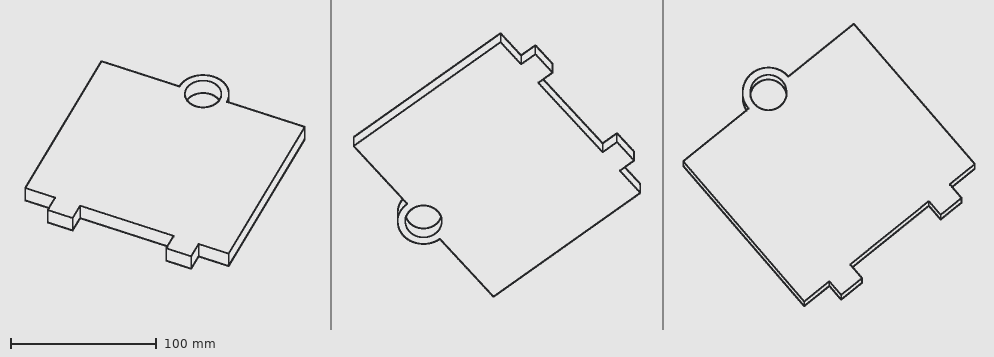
import cadquery as cq

width = 152.3
length = 160.0
thickness = 12.6

ring_radius = 17.8
hole_diameter = 25.0

tab_width = 18.7
tab_length = thickness
tab_inset = 22.4

plate_length = length - ring_radius - tab_length
tab_center_x = width / 2 - tab_inset - tab_width / 2


def make_tab(center_x):
    """Rectangular tab running forward from the front edge at y = 0."""
    return (
        cq.Workplane("XY")
        .center(center_x, 0)
        .rect(tab_width, 2 * tab_length)
        .extrude(thickness)
    )


plate = cq.Workplane("XY").box(width, plate_length, thickness, centered=(True, False, False))

eye = cq.Workplane("XY").center(0, plate_length).circle(ring_radius).extrude(thickness)
hole = cq.Workplane("XY").center(0, plate_length).circle(hole_diameter / 2).extrude(thickness)

body = plate.union(eye)
for side in (-1, 1):
    body = body.union(make_tab(side * tab_center_x))

result = body.cut(hole)